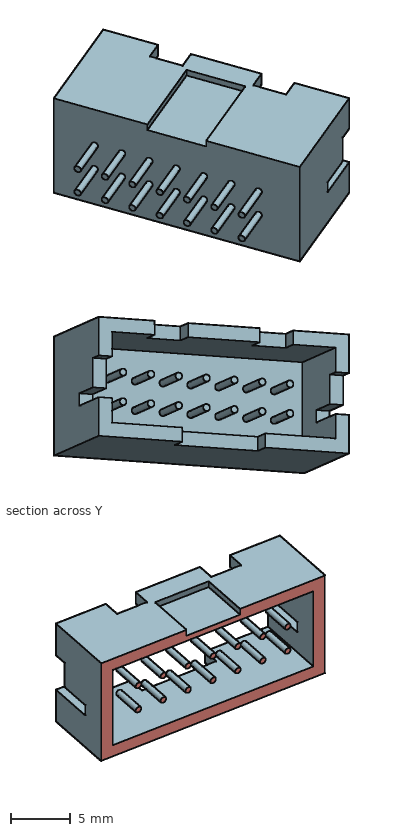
import cadquery as cq

body_width = 22.5
body_depth = 10.1
body_height = 10.1
wall = 1.2
cavity_depth = 7.5

pin_columns = 7
pin_rows = 2
pitch = 2.5
pin_diameter = 0.6
pin_tail = 3.5
pin_tip_setback = 3.9

rim_notch_depth = 1.7
top_tab_width = 6.46
top_notch_width = 3.0
bottom_notch_width = 7.46

end_notch_half_height = 1.77
end_step_depth = 1.3
end_slot_height = 1.05
end_slot_depth = 4.4

recess_width = 5.37
recess_length = 8.0
recess_depth = 0.6


def block(x_range, y_range, z_range):
    """Box spanning the given (low, high) ranges."""
    (x0, x1), (y0, y1), (z0, z1) = x_range, y_range, z_range
    return cq.Workplane("XY").box(x1 - x0, y1 - y0, z1 - z0, centered=False).translate((x0, y0, z0))


def centered_range(size):
    return (-size / 2, size / 2)


def from_mouth(depth):
    """Y range reaching the given depth in from the mouth."""
    return (body_depth - depth, body_depth)


top_wall = (body_height / 2 - wall, body_height / 2)
bottom_wall = (-body_height / 2, -body_height / 2 + wall)


def make_shell():
    outer = block(centered_range(body_width), (0, body_depth), centered_range(body_height))
    cavity = block(
        centered_range(body_width - 2 * wall),
        from_mouth(cavity_depth),
        centered_range(body_height - 2 * wall),
    )
    return outer.cut(cavity)


def cut_rim_notches(body):
    notch_inner = top_tab_width / 2
    notch_outer = notch_inner + top_notch_width
    for x_range in ((-notch_outer, -notch_inner), (notch_inner, notch_outer)):
        body = body.cut(block(x_range, from_mouth(rim_notch_depth), top_wall))
    return body.cut(block(centered_range(bottom_notch_width), from_mouth(rim_notch_depth), bottom_wall))


def cut_end_notches(body):
    across_body = centered_range(body_width)
    slot_bottom = -end_notch_half_height
    slot_top = slot_bottom + end_slot_height
    step = block(across_body, from_mouth(end_step_depth), (slot_top, end_notch_half_height))
    slot = block(across_body, from_mouth(end_slot_depth), (slot_bottom, slot_top))
    return body.cut(step).cut(slot)


def cut_top_recess(body):
    top = body_height / 2
    return body.cut(block(centered_range(recess_width), (0, recess_length), (top - recess_depth, top)))


def make_pins():
    pin_length = pin_tail + body_depth - pin_tip_setback
    return (
        cq.Workplane("XZ", origin=(0, body_depth - pin_tip_setback, 0))
        .rarray(pitch, pitch, pin_columns, pin_rows)
        .circle(pin_diameter / 2)
        .extrude(pin_length)
    )


housing = cut_top_recess(cut_end_notches(cut_rim_notches(make_shell())))
result = housing.union(make_pins())